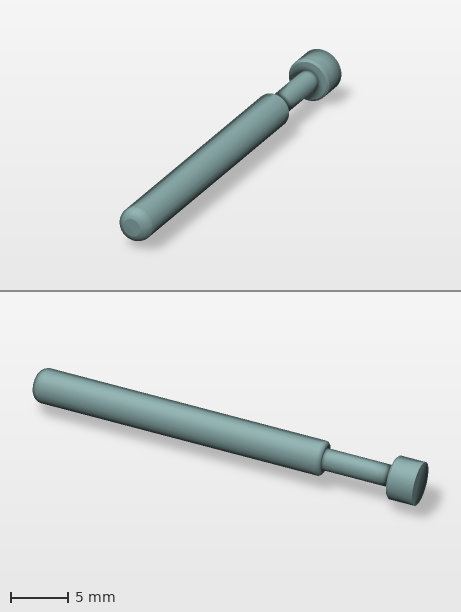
import cadquery as cq

length = 36.1
head_radius = 3.97 / 2
head_length = 2.53
head_chamfer = 0.18
stem_radius = 2.0 / 2
body_radius = 3.18 / 2
shoulder_rounding = 0.35
shoulder_from_head_end = 8.9
tip_flat_radius = 0.83
tip_length = 0.9
tip_arc_radius = 1.0

tip_y = -length / 2
tip_round_end_y = tip_y + tip_length
head_end_y = length / 2
head_underside_y = head_end_y - head_length
shoulder_y = head_end_y - shoulder_from_head_end

profile = (
    cq.Workplane("XY")
    .moveTo(0, tip_y)
    .lineTo(tip_flat_radius, tip_y)
    .radiusArc((body_radius, tip_round_end_y), -tip_arc_radius)
    .lineTo(body_radius, shoulder_y - shoulder_rounding)
    .radiusArc((body_radius - shoulder_rounding, shoulder_y), -shoulder_rounding)
    .lineTo(stem_radius, shoulder_y)
    .lineTo(stem_radius, head_underside_y)
    .lineTo(head_radius - head_chamfer, head_underside_y)
    .lineTo(head_radius, head_underside_y + head_chamfer)
    .lineTo(head_radius, head_end_y)
    .lineTo(0, head_end_y)
    .close()
)

result = profile.revolve(360, (0, 0, 0), (0, 1, 0))